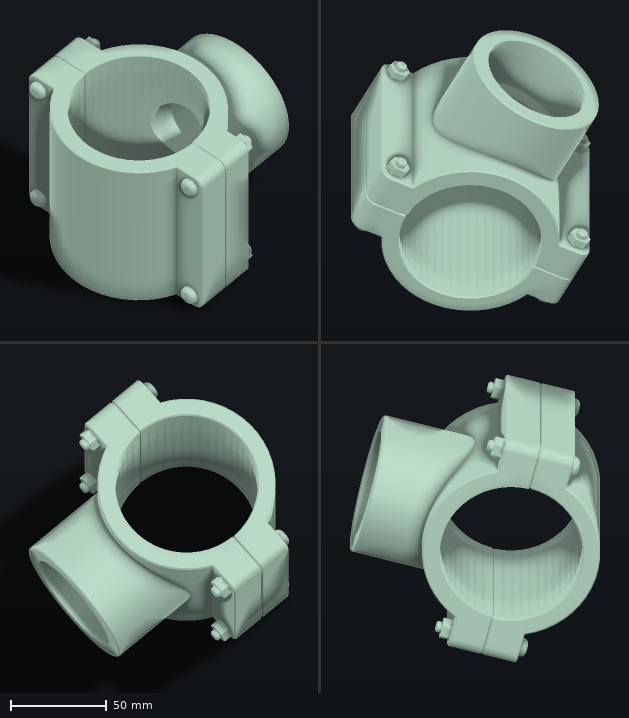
import cadquery as cq
import math

HEIGHT = 98.0
CLAMP_WIDTH = 122.0
RING_RADIUS = 46.8
BORE_RADIUS = 37.5
EAR_THICKNESS = 18.7
EAR_CORNER_RADIUS = 6.0
EDGE_CHAMFER = 0.7

OVERALL_DEPTH = 124.9
BRANCH_END_Y = OVERALL_DEPTH - RING_RADIUS
BRANCH_DIAMETER = 73.7
PORT_DIAMETER = 40.0
SOCKET_DIAMETER = 56.7
SOCKET_FLOOR_Y = 48.0

BOLT_INSET = 8.0
SHANK_DIAMETER = 6.0
SHANK_END_Y = 26.7
SHANK_TIP_CHAMFER = 0.7
HEAD_DIAMETER = 10.0
HEAD_HEIGHT = 4.0
HEAD_ROUND = 3.0
NUT_FLATS = 10.0
NUT_CORNERS = NUT_FLATS / math.cos(math.pi / 6)
NUT_THICKNESS = 5.0


def from_y(y):
    """Workplane facing +Y at the given Y, with local x along -X and local y along +Z."""
    return cq.Workplane("XZ", origin=(0, y, 0)).transformed(rotate=(0, 180, 0))


def make_bore():
    """Cutter for the vertical bore."""
    return cq.Workplane("XY").cylinder(HEIGHT, BORE_RADIUS)


def make_solid_half():
    """Rear half of the clamp before boring, with its joint face on the plane Y = 0."""
    ears = (
        from_y(0)
        .rect(CLAMP_WIDTH, HEIGHT)
        .extrude(EAR_THICKNESS)
        .edges("|Y")
        .fillet(EAR_CORNER_RADIUS)
        .faces("<Y or >Y")
        .edges()
        .chamfer(EDGE_CHAMFER)
    )
    ring = (
        cq.Workplane("XY")
        .cylinder(HEIGHT, RING_RADIUS)
        .faces("<Z or >Z")
        .edges()
        .chamfer(EDGE_CHAMFER)
    )
    behind_joint = cq.Workplane("XY").box(CLAMP_WIDTH, RING_RADIUS, HEIGHT, centered=(True, False, True))
    half_ring = ring.intersect(behind_joint.translate((0, EDGE_CHAMFER, 0)))
    return ears.union(half_ring)


def make_rear_half():
    """Rear half shell with the branch pipe and its stepped passage into the bore."""
    branch = (
        from_y(0)
        .circle(BRANCH_DIAMETER / 2)
        .extrude(BRANCH_END_Y)
        .faces(">Y")
        .edges()
        .chamfer(EDGE_CHAMFER)
    )
    port = from_y(0).circle(PORT_DIAMETER / 2).extrude(BRANCH_END_Y)
    socket = from_y(SOCKET_FLOOR_Y).circle(SOCKET_DIAMETER / 2).extrude(BRANCH_END_Y - SOCKET_FLOOR_Y)
    return make_solid_half().union(branch).cut(make_bore()).cut(port).cut(socket)


def make_front_half():
    """Front half shell, whose bore edges are chamfered."""
    half = make_solid_half().mirror("XZ").cut(make_bore())
    bore_extent = (BORE_RADIUS + EDGE_CHAMFER, BORE_RADIUS + EDGE_CHAMFER, HEIGHT)
    around_bore = cq.selectors.BoxSelector(
        tuple(-size for size in bore_extent), bore_extent, boundingbox=True
    )
    return half.edges(around_bore).chamfer(EDGE_CHAMFER)


def make_fastener():
    """Round-head bolt along Y with its nut, centred on X = Z = 0."""
    head = (
        from_y(-EAR_THICKNESS)
        .circle(HEAD_DIAMETER / 2)
        .extrude(-HEAD_HEIGHT)
        .faces("<Y")
        .edges()
        .fillet(HEAD_ROUND)
    )
    shank = (
        from_y(-EAR_THICKNESS)
        .circle(SHANK_DIAMETER / 2)
        .extrude(EAR_THICKNESS + SHANK_END_Y)
        .faces(">Y")
        .edges()
        .chamfer(SHANK_TIP_CHAMFER)
    )
    nut = from_y(EAR_THICKNESS).polygon(6, NUT_CORNERS).extrude(NUT_THICKNESS)
    return head.union(shank).union(nut)


result = make_rear_half().union(make_front_half())
fastener = make_fastener()
for side_x in (-1, 1):
    for side_z in (-1, 1):
        bolt_x = side_x * (CLAMP_WIDTH / 2 - BOLT_INSET)
        bolt_z = side_z * (HEIGHT / 2 - BOLT_INSET)
        result = result.union(fastener.translate((bolt_x, 0, bolt_z)))